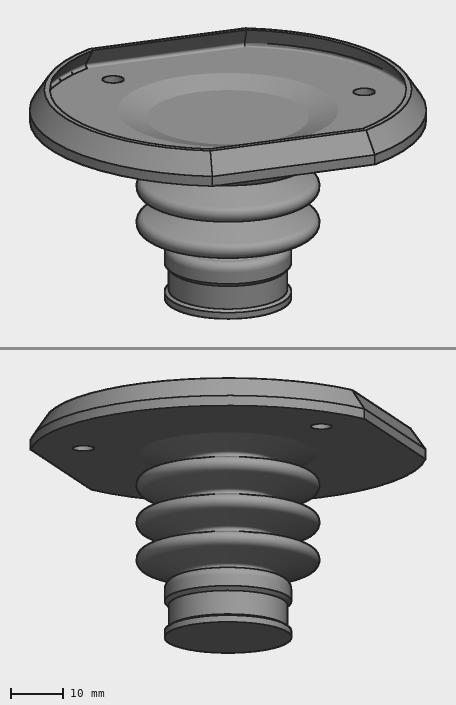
import cadquery as cq
import math

plate_radius = 37.85
plate_width = 68.0
total_height = 42.2
plate_thickness = 6.1
edge_height = 2.0
bevel_inset = 2.8

rim_width = 1.05
recess_fillet = 0.5
funnel_radius = 21.05
funnel_floor_radius = 15.45

hole_diameter = 4.1
hole_circle_radius = 27.95
hole_count = 3
first_hole_angle = 90

fold_count = 3
fold_pitch = 7.35
crest_radius = 17.5
neck_radius = 9.55
crest_round = 1.5
neck_round = 0.5
lowest_crest_z = 15.3

sleeve_radius = 11.35
collar_radius = 12.1
collar_round = 1.7
collar_bottom_z = 7.1
flange_height = 1.75
collar_bevel = collar_radius - sleeve_radius
flange_bevel_height = 0.45

plate_bottom_z = total_height - plate_thickness
floor_z = plate_bottom_z + edge_height
bevel_height = plate_thickness - edge_height
bevel_angle = math.degrees(math.atan2(bevel_inset, bevel_height))

crest_center_r = crest_radius - crest_round
neck_center_r = neck_radius + neck_round
center_rise = fold_pitch / 2
center_run = crest_center_r - neck_center_r
center_distance = math.hypot(center_run, center_rise)
center_angle = math.atan2(center_rise, center_run)
flank_angle = center_angle - math.asin((crest_round + neck_round) / center_distance)
flank_slope = math.tan(flank_angle)
crest_tangent_r = crest_center_r + crest_round * math.sin(flank_angle)
crest_tangent_dz = crest_round * math.cos(flank_angle)
neck_tangent_r = neck_center_r - neck_round * math.sin(flank_angle)
neck_tangent_dz = neck_round * math.cos(flank_angle)

lowest_neck_z = lowest_crest_z - center_rise
collar_top_z = lowest_neck_z - neck_round


def flatted_disc(base_z, inset, height, taper=0):
    """Disc with two flats, its side leaning inward toward the top by the taper angle."""
    radius = plate_radius - inset
    half_width = plate_width / 2 - inset
    half_flat = math.sqrt(radius**2 - half_width**2)
    return (
        cq.Workplane("XY", origin=(0, 0, base_z))
        .moveTo(half_width, -half_flat)
        .lineTo(half_width, half_flat)
        .threePointArc((0, radius), (-half_width, half_flat))
        .lineTo(-half_width, -half_flat)
        .threePointArc((0, -radius), (half_width, -half_flat))
        .close()
        .extrude(height, taper=taper)
    )


def make_plate():
    edge = flatted_disc(plate_bottom_z, 0, edge_height)
    bevel = flatted_disc(floor_z, 0, bevel_height, bevel_angle)
    recess = flatted_disc(floor_z, rim_width, bevel_height, bevel_angle)
    recess = recess.faces("<Z").edges().fillet(recess_fillet)
    return edge.union(bevel).cut(recess)


def make_bellows_and_sleeve():
    """Solid of revolution from the sleeve's lower end up to the plate floor."""
    collar_shoulder_z = collar_top_z - collar_round
    arc_mid = collar_round * math.sqrt(0.5)
    profile = (
        cq.Workplane("XZ")
        .lineTo(collar_radius, 0)
        .lineTo(collar_radius, flange_height - flange_bevel_height)
        .lineTo(sleeve_radius, flange_height)
        .lineTo(sleeve_radius, collar_bottom_z - collar_bevel)
        .lineTo(collar_radius, collar_bottom_z)
        .lineTo(collar_radius, collar_shoulder_z)
        .threePointArc(
            (collar_radius - collar_round + arc_mid, collar_shoulder_z + arc_mid),
            (collar_radius - collar_round, collar_top_z),
        )
        .lineTo(neck_center_r, collar_top_z)
        .threePointArc((neck_radius, lowest_neck_z), (neck_tangent_r, lowest_neck_z + neck_tangent_dz))
    )
    for fold in range(fold_count):
        crest_z = lowest_crest_z + fold * fold_pitch
        neck_z = crest_z + center_rise
        profile = (
            profile.lineTo(crest_tangent_r, crest_z - crest_tangent_dz)
            .threePointArc((crest_radius, crest_z), (crest_tangent_r, crest_z + crest_tangent_dz))
            .lineTo(neck_tangent_r, neck_z - neck_tangent_dz)
            .threePointArc((neck_radius, neck_z), (neck_tangent_r, neck_z + neck_tangent_dz))
        )
    top_neck_z = lowest_neck_z + fold_count * fold_pitch
    flank_end_r = neck_tangent_r + (plate_bottom_z - top_neck_z - neck_tangent_dz) / flank_slope
    return (
        profile.lineTo(flank_end_r, plate_bottom_z)
        .lineTo(flank_end_r, floor_z)
        .lineTo(0, floor_z)
        .close()
        .revolve(360, (0, 0), (0, 1))
    )


def make_funnel():
    """Shallow flat-bottomed cone with its wall parallel to the fold flanks."""
    depth = (funnel_radius - funnel_floor_radius) * flank_slope
    return (
        cq.Workplane("XZ", origin=(0, 0, floor_z))
        .lineTo(funnel_radius, 0)
        .lineTo(funnel_floor_radius, -depth)
        .lineTo(0, -depth)
        .close()
        .revolve(360, (0, 0), (0, 1))
    )


def make_screw_holes():
    return (
        cq.Workplane("XY", origin=(0, 0, plate_bottom_z))
        .polarArray(hole_circle_radius, first_hole_angle, 360, hole_count)
        .circle(hole_diameter / 2)
        .extrude(edge_height)
    )


result = make_plate().union(make_bellows_and_sleeve()).cut(make_funnel()).cut(make_screw_holes())